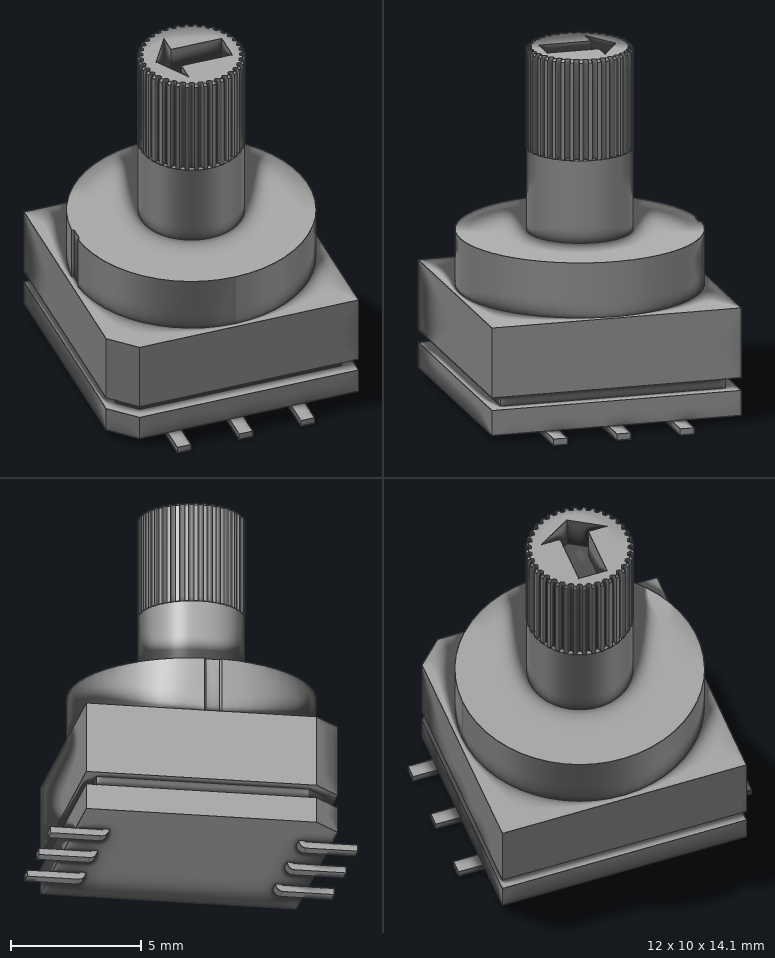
import cadquery as cq
import math

total_height = 14.1
base_bottom_z = 0.3
base_top_z = 1.3
body_bottom_z = 1.8
body_top_z = 4.6
dial_top_z = 6.8
knurl_bottom_z = 10.1

housing_width = 10.0
corner_cut = 1.0
neck_inset = 0.5

dial_diameter = 9.6
notch_depth = 0.1
notch_mouth_width = 0.69
notch_floor_width = 0.52

shaft_diameter = 4.1
knurl_diameter = 4.15
knurl_chamfer = 0.1
flute_count = 36
flute_width = 0.21
flute_depth = 0.21

arrow_tail_y = 1.47
arrow_shoulder_y = -0.62
arrow_tip_y = -1.44
arrow_stem_width = 1.15
arrow_head_width = 2.68
arrow_depth = 1.41

lead_span = 12.0
lead_length = 2.3
lead_width = 0.56
lead_thickness = 0.25
lead_pitch = 2.54


def housing_outline(z):
    half = housing_width / 2
    return cq.Workplane("XY", origin=(0, 0, z)).polyline([
        (-half, -half),
        (half - corner_cut, -half),
        (half, -half + corner_cut),
        (half, half),
        (-half, half),
    ]).close()


def cylinder(diameter, bottom_z, top_z):
    return cq.Workplane("XY", origin=(0, 0, bottom_z)).circle(diameter / 2).extrude(top_z - bottom_z)


def make_housing():
    base = housing_outline(base_bottom_z).extrude(base_top_z - base_bottom_z)
    neck = housing_outline(base_top_z).offset2D(-neck_inset).extrude(body_bottom_z - base_top_z)
    body = housing_outline(body_bottom_z).extrude(body_top_z - body_bottom_z)
    return base.union(neck).union(body)


def make_dial():
    rim_y = -dial_diameter / 2
    floor_y = rim_y + notch_depth
    mouth_y = -math.sqrt((dial_diameter / 2) ** 2 - (notch_mouth_width / 2) ** 2)
    notch = cq.Workplane("XY", origin=(0, 0, body_top_z)).polyline([
        (-notch_floor_width / 2, floor_y),
        (-notch_mouth_width / 2, mouth_y),
        (-notch_mouth_width / 2, rim_y),
        (notch_mouth_width / 2, rim_y),
        (notch_mouth_width / 2, mouth_y),
        (notch_floor_width / 2, floor_y),
    ]).close().extrude(dial_top_z - body_top_z)
    return cylinder(dial_diameter, body_top_z, dial_top_z).cut(notch)


def make_shaft():
    plain = cylinder(shaft_diameter, dial_top_z, knurl_bottom_z)
    grip = cylinder(knurl_diameter, knurl_bottom_z, total_height).faces(">Z").chamfer(knurl_chamfer)
    slot_length = 2 * flute_depth
    slot_center_radius = knurl_diameter / 2 - flute_depth + slot_length / 2
    flutes = (
        cq.Workplane("XY", origin=(0, 0, knurl_bottom_z))
        .polarArray(slot_center_radius, 0, 360, flute_count)
        .slot2D(slot_length, flute_width)
        .extrude(total_height - knurl_bottom_z)
    )
    return plain.union(grip.cut(flutes))


def make_arrow_recess():
    stem = arrow_stem_width / 2
    head = arrow_head_width / 2
    return cq.Workplane("XY", origin=(0, 0, total_height)).polyline([
        (-stem, arrow_tail_y),
        (-stem, arrow_shoulder_y),
        (-head, arrow_shoulder_y),
        (0, arrow_tip_y),
        (head, arrow_shoulder_y),
        (stem, arrow_shoulder_y),
        (stem, arrow_tail_y),
    ]).close().extrude(-arrow_depth)


def make_left_lead(center_y):
    tip_x = -lead_span / 2
    inner_x = tip_x + lead_length
    outer_radius = base_bottom_z
    inner_radius = outer_radius - lead_thickness
    bend_x = inner_x - outer_radius
    diagonal = math.sqrt(0.5)
    return (
        cq.Workplane("XZ", origin=(0, center_y + lead_width / 2, 0))
        .moveTo(tip_x, 0)
        .lineTo(bend_x, 0)
        .threePointArc(
            (bend_x + outer_radius * diagonal, outer_radius * (1 - diagonal)),
            (inner_x, base_bottom_z),
        )
        .lineTo(bend_x + inner_radius, base_bottom_z)
        .threePointArc(
            (bend_x + inner_radius * diagonal, base_bottom_z - inner_radius * diagonal),
            (bend_x, lead_thickness),
        )
        .lineTo(tip_x, lead_thickness)
        .close()
        .extrude(lead_width)
    )


result = make_housing().union(make_dial()).union(make_shaft()).cut(make_arrow_recess())
for row in (-1, 0, 1):
    left_lead = make_left_lead(row * lead_pitch)
    result = result.union(left_lead).union(left_lead.mirror("YZ"))